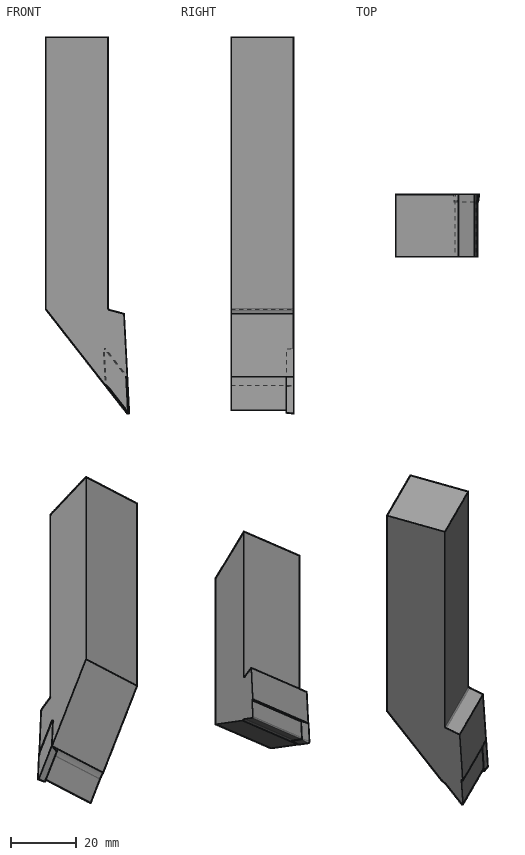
import cadquery as cq
import math

total_length = 114.3
shank_size = 19.0

reach = 25.4
nose_radius = 0.4
lead_angle = 3
tip_angle = 35

shoulder_height = 31.7
shoulder_slope = 15
shoulder_fillet = 0.5

relief_depth = 0.5
relief_runout_radius = 5.0
holder_nose_radius = 0.2
cutter_margin = 2.3

insert_side = 12.1
insert_thickness = 2.4
insert_projection = 0.1
clearance_angle = 7


def direction(angle):
    """Unit vector whose local Y is Z, with the angle in degrees counted from +X towards +Z."""
    return cq.Vector(math.cos(math.radians(angle)), math.sin(math.radians(angle)))


def flat(point):
    return (point.x, point.y)


lead_up = direction(90 + lead_angle)
trail_up = direction(90 + lead_angle + tip_angle)
axis_up = direction(90 + lead_angle + tip_angle / 2)
lead_out = direction(lead_angle)
trail_out = direction(180 + lead_angle + tip_angle)

half_tip_sine = math.sin(math.radians(tip_angle / 2))
nose_centre = cq.Vector(reach - nose_radius, nose_radius)
tip_corner = nose_centre - axis_up * (nose_radius / half_tip_sine)

lead_end = tip_corner + lead_up * insert_side
trail_end = tip_corner + trail_up * insert_side


def make_insert():
    """Rhombic insert, cutting face towards +Y, with rounded corners and clearance on all sides."""
    far_corner = lead_end + trail_up * insert_side
    corners = [tip_corner, lead_end, far_corner, trail_end, tip_corner]
    outline = cq.Sketch().polygon([flat(corner) for corner in corners])
    outline = outline.vertices().fillet(nose_radius)
    cutting_face = cq.Workplane("XZ", origin=(0, shank_size + insert_projection, 0))
    return cutting_face.placeSketch(outline).extrude(insert_thickness, taper=clearance_angle)


def make_holder_blank():
    """Shank and head in one outline that ends in the sharp tip corner."""
    shoulder_fall = math.tan(math.radians(shoulder_slope))
    lead_lean = math.tan(math.radians(lead_angle))
    lead_x = tip_corner.x - (shoulder_height - tip_corner.y) * lead_lean
    shoulder_width = (lead_x - shank_size) / (1 - shoulder_fall * lead_lean)
    shoulder_end = (shank_size + shoulder_width, shoulder_height - shoulder_width * shoulder_fall)

    slope_top = tip_corner + trail_up * (-tip_corner.x / trail_up.x)

    outline = [
        (0, total_length),
        (shank_size, total_length),
        (shank_size, shoulder_height),
        shoulder_end,
        flat(tip_corner),
        flat(slope_top),
    ]
    blank = cq.Workplane("XZ").polyline(outline).close().extrude(-shank_size)
    shoulder_middle = (shank_size, shank_size / 2, shoulder_height)
    shoulder_edge = cq.selectors.NearestToPointSelector(shoulder_middle)
    return blank.edges(shoulder_edge).fillet(shoulder_fillet)


def make_relief_cutter():
    """Band along both tip edges: everything outside the set-back nose of the holder."""
    runout_angle = math.acos(1 - relief_depth / relief_runout_radius)
    runout_length = relief_runout_radius * math.sin(runout_angle)
    arc_end = trail_end - trail_up * runout_length - trail_out * relief_depth
    arc_centre = arc_end + trail_out * relief_runout_radius
    arc_middle = (
        arc_centre
        - trail_out * (relief_runout_radius * math.cos(runout_angle / 2))
        + trail_up * (relief_runout_radius * math.sin(runout_angle / 2))
    )

    setback = (relief_depth + holder_nose_radius) / half_tip_sine
    holder_nose_centre = tip_corner + axis_up * setback
    nose_start = holder_nose_centre + trail_out * holder_nose_radius
    nose_middle = holder_nose_centre - axis_up * holder_nose_radius
    nose_end = holder_nose_centre + lead_out * holder_nose_radius

    below_tip = tip_corner - axis_up * cutter_margin
    return (
        cq.Workplane("XZ")
        .moveTo(*flat(trail_end))
        .threePointArc(flat(arc_middle), flat(arc_end))
        .lineTo(*flat(nose_start))
        .threePointArc(flat(nose_middle), flat(nose_end))
        .lineTo(*flat(lead_end - lead_out * relief_depth))
        .lineTo(*flat(lead_end + lead_out * cutter_margin))
        .lineTo(*flat(below_tip + lead_out * cutter_margin))
        .lineTo(*flat(below_tip + trail_out * cutter_margin))
        .lineTo(*flat(trail_end + trail_out * cutter_margin))
        .close()
        .extrude(-shank_size)
    )


insert = make_insert()
holder = make_holder_blank().cut(make_relief_cutter()).cut(insert).solids()

result = cq.Compound.makeCompound([holder.val(), insert.val()])